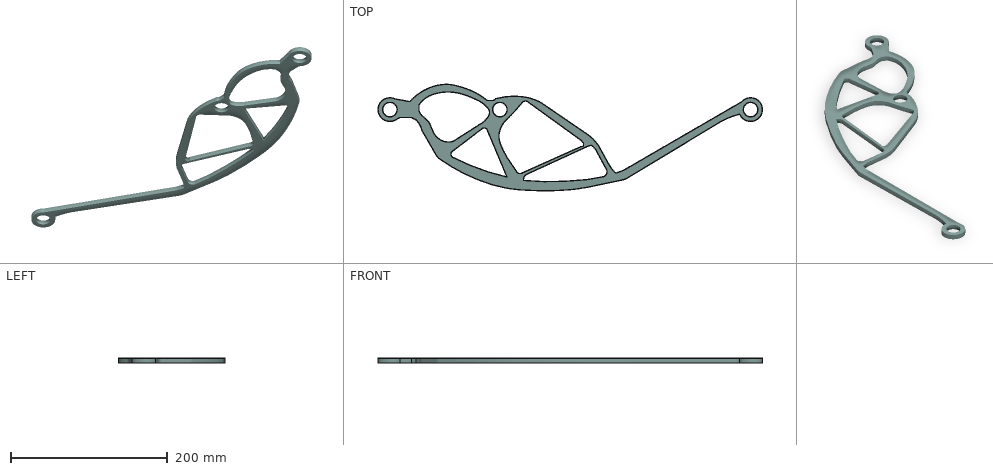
import cadquery as cq

length = 490.0
thickness = 6.5
eye_radius = 15.0
bore_diameter = 18.0
eye_spacing = length - 2 * eye_radius
pivot_x = 140.0

eye_centers = [(0, 0), (eye_spacing, 0)]
bore_centers = eye_centers + [(pivot_x, 0)]


def plate(start, *stretches):
    """Extrude a closed outline.

    A stretch of one point is a straight edge, two points (middle, end) are an arc,
    and three or more are a smooth curve through them.
    """
    path = cq.Workplane("XY").moveTo(*start)
    for stretch in stretches:
        if len(stretch) == 1:
            path = path.lineTo(*stretch[0])
        elif len(stretch) == 2:
            path = path.threePointArc(*stretch)
        else:
            path = path.spline(stretch, includeCurrent=True)
    return path.close().extrude(thickness)


def discs(centers, diameter):
    return cq.Workplane("XY").pushPoints(centers).circle(diameter / 2).extrude(thickness)


body = plate(
    (4.0, 14.0),
    [(25.5, 10.5)],
    [(40.5, 23.0), (60.0, 31.0), (73.5, 32.5), (89.0, 29.5), (107.5, 22.5), (124.0, 12.0)],
    [(132.0, 12.0)],
    [(135.0, 14.0)],
    [(157.0, 17.0), (176.5, 15.0), (192.0, 9.5)],
    [(252.5, -32.0)],
    [(260.0, -38.5), (266.0, -46.0)],
    [(279.5, -70.0)],
    [(283.0, -76.0), (287.5, -81.0)],
    [(297.5, -77.5)],
    [(448.0, 10.0)],
    [(eye_spacing, 0)],
    [(444.5, -6.5)],
    [(433.5, -10.0), (423.0, -14.5)],
    [(300.5, -88.5)],
    [(294.5, -90.0)],
    [(278.5, -93.5), (237.0, -101.5), (186.0, -103.5), (153.0, -101.0), (110.0, -88.5), (91.0, -80.0), (62.0, -62.0)],
    [(59.5, -59.0), (57.5, -55.5)],
    [(40.5, -26.5)],
    [(37.0, -18.0), (33.5, -13.0)],
    [(27.5, -10.5)],
    [(12.5, -10.5)],
    [(4.0, -14.0)],
)

oval_window = plate(
    (114.5, -18.5),
    [(81.0, -40.0)],
    [(73.5, -41.0), (64.5, -38.5), (56.5, -30.5), (49.0, -15.0), (40.5, -7.5), (37.0, -2.0)],
    [(37.0, 6.0)],
    [(51.0, 17.5), (64.5, 21.5), (84.0, 21.5), (109.0, 13.0), (122.0, 5.0), (127.0, -4.0), (124.0, -11.0), (114.5, -18.5)],
)

triangular_window = plate(
    (79.0, -54.0),
    [(118.0, -24.0)],
    [(121.0, -23.5), (123.5, -25.0)],
    [(149.0, -85.5)],
    [(112.5, -75.0), (79.5, -60.5)],
    [(78.0, -57.0), (79.0, -54.0)],
)

upper_window = plate(
    (176.5, 9.5),
    [(243.5, -39.0)],
    [(246.5, -42.5)],
    [(246.5, -46.5)],
    [(243.5, -47.0)],
    [(169.0, -80.5)],
    [(165.0, -81.5), (161.0, -78.5)],
    [(153.0, -66.5), (144.0, -51.0), (139.0, -35.0), (141.0, -24.0), (146.5, -15.0)],
    [(160.0, -1.0)],
    [(169.0, 9.5)],
    [(173.0, 11.0), (176.5, 9.5)],
)

lower_window = plate(
    (170.5, -90.0),
    [(171.5, -85.2), (175.0, -82.5)],
    [(253.0, -46.5)],
    [(256.0, -45.5)],
    [(260.0, -48.5), (263.5, -54.0)],
    [(275.5, -75.5)],
    [(276.5, -81.0), (272.5, -85.2)],
    [(250.5, -89.0), (232.5, -90.5), (206.0, -91.5), (181.5, -91.0), (170.5, -90.0)],
)

result = body.union(discs(eye_centers, 2 * eye_radius))
for window in (oval_window, triangular_window, upper_window, lower_window):
    result = result.cut(window)
result = result.cut(discs(bore_centers, bore_diameter))